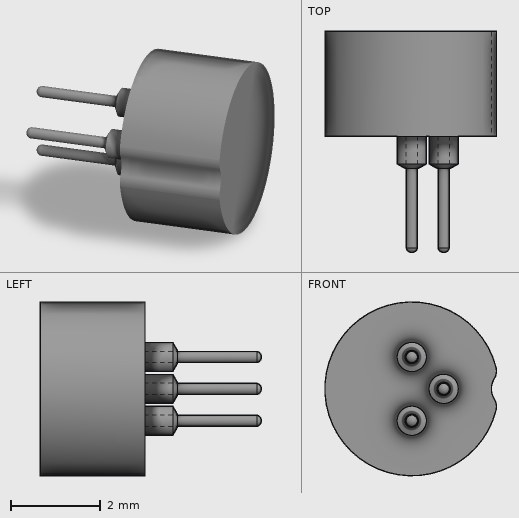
import cadquery as cq

total_length = 4.95
housing_length = 2.35
housing_diameter = 3.89
pin_offset = 0.715

groove_diameter = 0.865
groove_bottom_x = 1.78
groove_edge_radius = 0.325

sleeve_diameter = 0.655
sleeve_end_diameter = 0.3
sleeve_straight_length = 0.62
sleeve_taper_length = 0.1

pin_diameter = 0.25
pin_tip_length = 0.1
pin_length = total_length - housing_length

pin_positions = [(0, pin_offset), (pin_offset, 0), (0, -pin_offset)]


def make_housing():
    """Round block with a rounded keying groove along its full length."""
    block = cq.Workplane("XZ").circle(housing_diameter / 2).extrude(-housing_length)
    groove_center_x = groove_bottom_x + groove_diameter / 2
    groove = (
        cq.Workplane("XZ")
        .center(groove_center_x, 0)
        .circle(groove_diameter / 2)
        .extrude(-housing_length)
    )
    grooved = block.cut(groove)
    groove_edges = cq.selectors.BoxSelector(
        (groove_bottom_x, 0, -groove_diameter / 2),
        (groove_center_x, housing_length, groove_diameter / 2),
    )
    return grooved.edges("|Y").edges(groove_edges).fillet(groove_edge_radius)


def make_sleeve(x, z):
    """Tapered tube standing on the housing face, bored to fit its pin."""
    bore_radius = pin_diameter / 2
    sleeve_length = sleeve_straight_length + sleeve_taper_length
    return (
        cq.Workplane("XY")
        .moveTo(bore_radius, 0)
        .lineTo(sleeve_diameter / 2, 0)
        .lineTo(sleeve_diameter / 2, -sleeve_straight_length)
        .lineTo(sleeve_end_diameter / 2, -sleeve_length)
        .lineTo(bore_radius, -sleeve_length)
        .close()
        .revolve(360, (0, 0, 0), (0, 1, 0))
        .translate((x, 0, z))
    )


def make_pin(x, z):
    """Round pin with a domed tip, butting against the housing face."""
    pin_radius = pin_diameter / 2
    dome_radius = (pin_radius**2 + pin_tip_length**2) / (2 * pin_tip_length)
    dome_middle_x = pin_radius / 2
    dome_center_y = -pin_length + dome_radius
    dome_middle_y = dome_center_y - (dome_radius**2 - dome_middle_x**2) ** 0.5
    return (
        cq.Workplane("XY")
        .lineTo(pin_radius, 0)
        .lineTo(pin_radius, -pin_length + pin_tip_length)
        .threePointArc((dome_middle_x, dome_middle_y), (0, -pin_length))
        .close()
        .revolve(360, (0, 0, 0), (0, 1, 0))
        .translate((x, 0, z))
    )


housing = make_housing()
sleeves = [make_sleeve(x, z) for x, z in pin_positions]
pins = [make_pin(x, z) for x, z in pin_positions]

result = cq.Compound.makeCompound(
    [
        housing.val(),
        *[sleeve.val() for sleeve in sleeves],
        *[pin.val() for pin in pins],
    ]
)